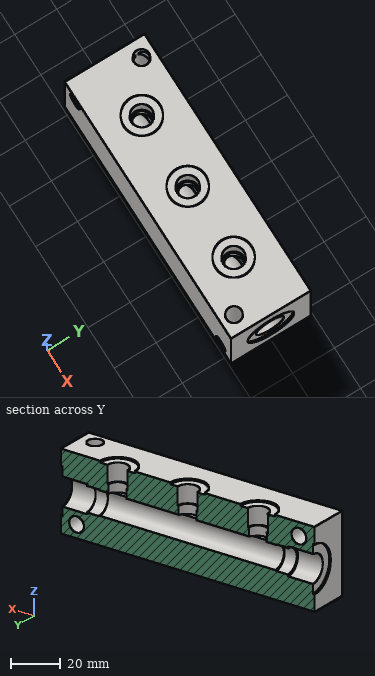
import cadquery as cq
import math

length = 127.0
side = 38.1
half_length = length / 2
half_side = side / 2

mount_diameter = 7.1
mount_edge_x = 7.9
mount_edge_side = 6.4

spotface_depth = 0.8
drill_point_angle = 118.0

gallery_diameter = 11.2
end_spotface_diameter = 22.1
end_thread_diameter = 13.2
end_thread_depth = 13.2
end_drill_diameter = 11.7
end_drill_depth = 19.3

top_port_pitch = 35.0
top_port_count = 3
top_spotface_diameter = 17.1
top_thread_diameter = 9.8
top_thread_depth = 9.3
top_drill_diameter = 8.8
top_drill_depth = 13.8


def threaded_port(face, spotface_diameter, thread_diameter, thread_depth, drill_diameter, drill_depth):
    """Cutter for a port: spotface, thread bore and pointed tap drill; all depths are from the face."""
    spotface_radius = spotface_diameter / 2
    thread_radius = thread_diameter / 2
    drill_radius = drill_diameter / 2
    point_length = drill_radius / math.tan(math.radians(drill_point_angle / 2))
    profile = (
        cq.Workplane(face)
        .lineTo(spotface_radius, 0)
        .lineTo(spotface_radius, -spotface_depth)
        .lineTo(thread_radius, -spotface_depth)
        .lineTo(thread_radius, -thread_depth)
        .lineTo(drill_radius, -thread_depth)
        .lineTo(drill_radius, -drill_depth)
        .lineTo(0, -drill_depth - point_length)
        .close()
    )
    return profile.revolve(360, (0, 0), (0, 1))


block = cq.Workplane("XY").box(length, side, side)

gallery = cq.Workplane("YZ").circle(gallery_diameter / 2).extrude(half_length, both=True)
block = block.cut(gallery)

for direction in (-1, 1):
    end_plane = cq.Plane(origin=(direction * half_length, 0, 0), xDir=(0, 1, 0), normal=(0, 0, -direction))
    end_port = threaded_port(
        end_plane,
        end_spotface_diameter,
        end_thread_diameter,
        end_thread_depth,
        end_drill_diameter,
        end_drill_depth,
    )
    block = block.cut(end_port)

for index in range(top_port_count):
    port_x = (index - (top_port_count - 1) / 2) * top_port_pitch
    top_plane = cq.Plane(origin=(port_x, 0, half_side), xDir=(1, 0, 0), normal=(0, -1, 0))
    top_port = threaded_port(
        top_plane,
        top_spotface_diameter,
        top_thread_diameter,
        top_thread_depth,
        top_drill_diameter,
        top_drill_depth,
    )
    block = block.cut(top_port)

mount_x = half_length - mount_edge_x
mount_offset = half_side - mount_edge_side
mount_corners = [(-mount_x, mount_offset), (mount_x, -mount_offset)]
for plane in ("XY", "XZ"):
    hole_centers = cq.Workplane(plane).pushPoints(mount_corners)
    holes = hole_centers.circle(mount_diameter / 2).extrude(half_side, both=True)
    block = block.cut(holes)

result = block